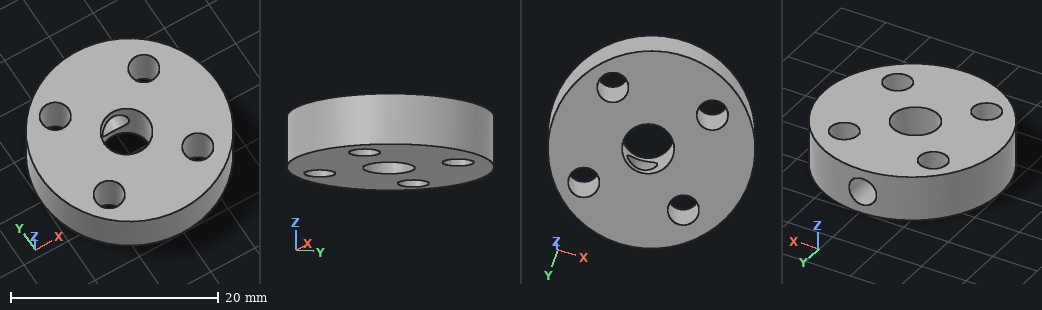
import cadquery as cq

disc_diameter = 20
disc_height = 5

pattern_offset_x = -0.35
bore_diameter = 5
bolt_hole_diameter = 3
bolt_spacing = 10

screw_hole_diameter = 3
screw_hole_z = disc_height / 2


def make_disc():
    return cq.Workplane("XY").circle(disc_diameter / 2).extrude(disc_height)


def make_vertical_holes():
    pattern = cq.Workplane("XY").center(pattern_offset_x, 0)
    bore = pattern.circle(bore_diameter / 2).extrude(disc_height)
    bolt_holes = (
        pattern.rect(bolt_spacing, bolt_spacing, forConstruction=True)
        .vertices()
        .circle(bolt_hole_diameter / 2)
        .extrude(disc_height)
    )
    return bore.union(bolt_holes)


def make_screw_hole():
    return (
        cq.Workplane("XZ")
        .center(pattern_offset_x, screw_hole_z)
        .circle(screw_hole_diameter / 2)
        .extrude(-disc_diameter / 2)
    )


result = make_disc().cut(make_vertical_holes()).cut(make_screw_hole())